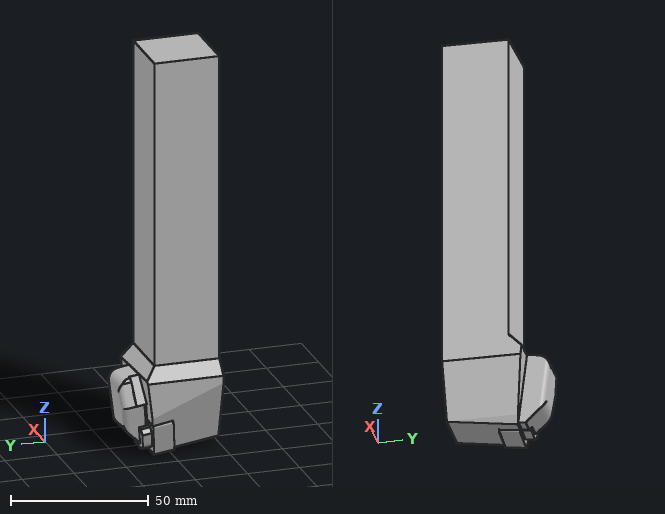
import cadquery as cq
import math

length = 152.4
shank_side = 25.0
head_offset = 5.0
head_width = shank_side + head_offset
shoulder_z = 34.3
flank_z = 25.9
flank_end = (22.4, 5.2)
corner_foot = (17.4, -3.0)
head_blank = 33.5
cutter_size = 182.9

base_corner = (6.1, 0.0, 3.7)
lead_angle = math.radians(15)
end_angle = math.radians(5)
relief = math.tan(math.radians(6))
lead_normal = cq.Vector(-math.cos(lead_angle), -relief, -math.sin(lead_angle))
end_normal = cq.Vector(math.sin(end_angle), -relief, -math.cos(end_angle))

corner_height = 25.9
back_rake = math.tan(math.radians(7))
side_rake = math.tan(math.radians(1.5))
corner_edge = end_normal.cross(lead_normal).normalized()
rake_origin = cq.Vector(*base_corner) + corner_edge * corner_height
rake_normal = cq.Vector(-side_rake, 1, -back_rake).normalized()
rake_up = cq.Vector(0, -rake_normal.z, rake_normal.y)

insert_side = 13.0
insert_thickness = 8.0
insert_overhang = 0.8
insert_nose_radius = 0.8

breaker_height = 3.7
breaker_side = 9.1
breaker_inset = 1.0
breaker_nose_radius = 3.5
breaker_chamfer = 1.8

clamp_height = 9.1
clamp_tip = (2.3, 3.4)
clamp_knee = (19.2, 0.6)
clamp_shoulder = (28.0, 3.2)
clamp_back = 29.3
clamp_right = 16.3
clamp_corner_cut = 1.2
clamp_tip_height = 2.7
clamp_slope_top = 10.4
clamp_front_radius = 7.6
clamp_back_radius = 4.9
clamp_edge_radius = 2.5
clamp_bevel_height = 4.0
clamp_bevel_depth = 2.5
clamp_gap = 0.9


def rake_plane():
    """Plane of the rake face; local x runs up the shank, local y towards +X."""
    return cq.Plane(origin=rake_origin, xDir=rake_up, normal=rake_normal)


def beyond(point, normal):
    """Large block that fills the space in front of a plane."""
    plane = cq.Plane(origin=point, normal=normal)
    return cq.Workplane(plane).rect(cutter_size, cutter_size).extrude(cutter_size)


def rhombus(side, inset):
    """Corner points of a rhombus nested in the cutting corner."""
    lead = (math.cos(lead_angle), -math.sin(lead_angle))
    end = (math.sin(end_angle), math.cos(end_angle))
    shift = inset / math.cos(lead_angle - end_angle)
    start = tuple(shift * (a + b) for a, b in zip(lead, end))
    up = tuple(s + side * a for s, a in zip(start, lead))
    across = tuple(s + side * b for s, b in zip(start, end))
    far = tuple(u + side * b for u, b in zip(up, end))
    return [start, up, far, across]


def middle(first, second):
    return tuple((a + b) / 2 for a, b in zip(first, second))


def rhombic_plate(points, height):
    return cq.Workplane(rake_plane()).polyline(points).close().extrude(height)


def edge_at(point):
    """Selector for the edge whose middle is nearest to a point in the rake frame."""
    return cq.selectors.NearestToPointSelector(rake_plane().toWorldCoords(point).toTuple())


def make_insert():
    plate = rhombic_plate(rhombus(insert_side, -insert_overhang), -insert_thickness)
    return plate.edges(cq.selectors.ParallelDirSelector(rake_normal)).fillet(insert_nose_radius)


def make_shank_and_head():
    outline = [
        (head_offset, length), (head_width, length), (head_width, flank_z), flank_end,
        corner_foot, (0, corner_foot[1]), (0, shoulder_z - head_offset), (head_offset, shoulder_z),
    ]
    body = cq.Workplane("XZ").polyline(outline).close().extrude(-head_blank)
    body = body.cut(beyond(base_corner, lead_normal))
    body = body.cut(beyond(base_corner, end_normal))
    body = body.cut(beyond(rake_origin, rake_normal))
    rear = (
        cq.Workplane("YZ")
        .polyline([(shank_side, length), (shank_side, shoulder_z),
                   (head_blank, shoulder_z - head_blank + shank_side), (head_blank, length)])
        .close().extrude(head_width)
    )
    return body.cut(rear)


def make_breaker():
    points = rhombus(breaker_side, breaker_inset)
    half_height = breaker_height / 2
    plate = rhombic_plate(points, breaker_height)
    plate = plate.edges(edge_at((*points[0], half_height))).fillet(breaker_nose_radius)
    return plate.edges(edge_at((*points[1], half_height))).chamfer(breaker_chamfer)


def make_clamp():
    plan = [clamp_tip, clamp_knee, clamp_shoulder, (clamp_back, clamp_shoulder[1] + clamp_corner_cut),
            (clamp_back, clamp_right), (clamp_tip[0], clamp_right)]
    body = cq.Workplane(rake_plane()).polyline(plan).close().extrude(clamp_height)
    top_edges = [
        middle(clamp_tip, clamp_knee),
        middle(clamp_knee, clamp_shoulder),
        middle((clamp_tip[0], clamp_right), (clamp_back, clamp_right)),
    ]
    picks = [edge_at((*point, clamp_height)) for point in top_edges]
    body = body.edges(picks[0] + picks[1] + picks[2]).fillet(clamp_edge_radius)
    body = body.intersect(make_clamp_profile())
    return body.cut(make_clamp_relief()).cut(make_clamp_bevel())


def make_clamp_bevel():
    """Wedge removed from the foot of the inward flank, deepest at the back."""
    outline = [clamp_knee, (clamp_back, clamp_shoulder[1] + clamp_bevel_depth),
               (clamp_back, clamp_knee[1])]
    return cq.Workplane(rake_plane()).polyline(outline).close().extrude(clamp_bevel_height)


def make_clamp_profile():
    """Side profile of the clamp: sloping front, flat top and rounded back."""
    side = cq.Plane(origin=rake_origin, xDir=rake_up, normal=rake_up.cross(rake_normal))
    profile = [(clamp_tip[0], 0), (clamp_back, 0), (clamp_back, clamp_height),
               (clamp_slope_top, clamp_height), (clamp_tip[0], clamp_tip_height)]
    block = cq.Workplane(side).polyline(profile).close().extrude(head_width, both=True)

    def profile_edge(up):
        return cq.selectors.NearestToPointSelector(side.toWorldCoords((up, clamp_height, 0)).toTuple())

    block = block.edges(profile_edge(clamp_back)).fillet(clamp_back_radius)
    return block.edges(profile_edge(clamp_slope_top)).fillet(clamp_front_radius)


def make_clamp_relief():
    """Shallow strip removed from the underside along the lead-side flank."""
    inward = [(up, across + clamp_gap) for up, across in (clamp_knee, clamp_tip)]
    outward = [(up, across - clamp_gap) for up, across in (clamp_tip, clamp_knee)]
    return cq.Workplane(rake_plane()).polyline(inward + outward).close().extrude(clamp_gap)


holder = make_shank_and_head().union(make_clamp()).union(make_breaker())
insert = make_insert()
holder = holder.cut(insert)

result = cq.Compound.makeCompound([holder.val(), insert.val()])